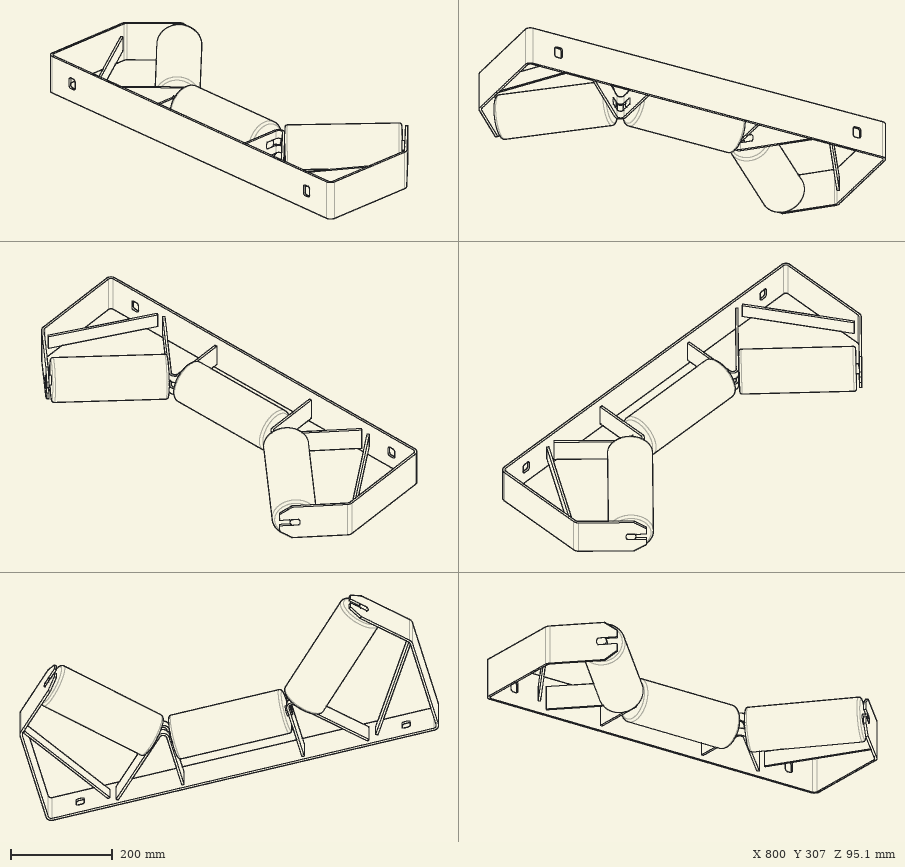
import cadquery as cq
import math

LENGTH = 800.0
FRAME_HEIGHT = 80.0
PLATE = 5.0
WING_ANGLE = 45
WING_BEND_Y = 208.0
WING_TIP_Y = 306.0
CORNER_RADIUS = 11.0
WING_RADIUS = 14.0
TIP_CHAMFER_ALONG = 25.0
TIP_CHAMFER_HEIGHT = 18.0

HOLE_X = 332.0
HOLE_WIDTH = 17.0
HOLE_HEIGHT = 23.0
HOLE_CORNER = 5.0

ROLLER_RADIUS = 89.0 / 2
ROLLER_LENGTH = 230.0
ROLLER_FILLET = 5.0
SHAFT_RADIUS = 20.0 / 2
SHAFT_FLATS = 14.0
FLAT_LENGTH = 6.0
CENTRE_Y = 100.0
CENTRE_Z = 34.0
WING_AXIS_SUM = 38.0
WING_OUTER_Z = FRAME_HEIGHT / 2
TILT = 1.6
WING_DRUM_SHIFT = 2.0

BRACKET_FACE_X = 120.0
BRACKET_TOP_Y = 129.0
BRACKET_RADIUS = 12.0
BRACKET_WIDTH = 48.0

GUSSET_WIDTH = 30.0
GUSSET_FOOT_X = 273.0
GUSSET_HEAD_Y = 195.0
WELD = 0.4

HALF = LENGTH / 2
COS_WING = math.cos(math.radians(WING_ANGLE))
SIN_WING = math.sin(math.radians(WING_ANGLE))
WING_LENGTH = (WING_TIP_Y - WING_BEND_Y) / SIN_WING
WING_TIP_X = -HALF + WING_LENGTH * COS_WING
ALONG_WING = cq.Vector(COS_WING, SIN_WING, 0)
BEND_X = -BRACKET_FACE_X - BRACKET_RADIUS
BEND_Y = BRACKET_TOP_Y - BRACKET_RADIUS


def mirrored(shape):
    return shape.mirror("YZ")


def axis_point(face_difference):
    """Point of the left wing axis (in XY) on the plane Y - X = face_difference."""
    x = -(WING_AXIS_SUM + face_difference) / 2
    return x, x + face_difference


OUTER_X, OUTER_Y = axis_point(WING_BEND_Y + HALF)
DIAGONAL_DIFFERENCE = BEND_Y - BEND_X + BRACKET_RADIUS / SIN_WING
INNER_X, INNER_Y = axis_point(DIAGONAL_DIFFERENCE)
WING_SPAN = math.hypot(INNER_X - OUTER_X, INNER_Y - OUTER_Y)
AXIS_DROP = WING_SPAN * math.tan(math.radians(TILT))
WING_AXIS = cq.Vector(INNER_X - OUTER_X, INNER_Y - OUTER_Y, -AXIS_DROP)
WING_MIDDLE = cq.Vector(OUTER_X, OUTER_Y, WING_OUTER_Z) + WING_AXIS / 2

WING_CENTRE = WING_MIDDLE + WING_AXIS.normalized() * (PLATE / 2)
WING_PLANE = cq.Plane(WING_CENTRE, WING_AXIS, WING_AXIS.cross(ALONG_WING))
WING_SHAFT = WING_AXIS.Length + PLATE
CENTRE_PLANE = cq.Plane((0, CENTRE_Y, CENTRE_Z), (1, 0, 0), (0, 0, 1))
CENTRE_SHAFT = 2 * (BRACKET_FACE_X + PLATE)


def along_axis(radius, length):
    return cq.Workplane("YZ").workplane(offset=-length / 2).circle(radius).extrude(length)


def flatted_bar(length):
    slab = cq.Workplane("XY").box(length, 2 * SHAFT_RADIUS, SHAFT_FLATS)
    return along_axis(SHAFT_RADIUS, length).intersect(slab)


def roller(plane, shaft_length, drum_shift):
    """Drum and shaft in one piece; the shaft ends are flatted where they sit in the slots."""
    shaft = flatted_bar(shaft_length).union(along_axis(SHAFT_RADIUS, shaft_length - 2 * FLAT_LENGTH))
    drum = along_axis(ROLLER_RADIUS, ROLLER_LENGTH).edges().fillet(ROLLER_FILLET)
    drum = drum.translate((drum_shift, 0, 0))
    return cq.Workplane(drum.union(shaft).val().located(plane.location))


def slot_cutter(plane, shaft_length):
    """Shaft profile left open on one side, long enough to pass both supporting plates."""
    length = shaft_length + 2 * BRACKET_RADIUS
    reach = 3 * BRACKET_RADIUS + SHAFT_RADIUS
    opening = cq.Workplane("XY").box(length, reach, SHAFT_FLATS, centered=(True, False, True))
    return cq.Workplane(flatted_bar(length).union(opening).val().located(plane.location))


def round_bend(body, x, y, outer_radius, inner_x, inner_y):
    outer = cq.selectors.NearestToPointSelector((x, y, FRAME_HEIGHT / 2))
    inner = cq.selectors.NearestToPointSelector((inner_x, inner_y, FRAME_HEIGHT / 2))
    return body.edges(outer).fillet(outer_radius).edges(inner).fillet(outer_radius - PLATE)


def strip():
    inner_bend_y = WING_BEND_Y - PLATE * math.tan(math.radians(WING_ANGLE / 2))
    left = [
        (-HALF, 0),
        (-HALF, WING_BEND_Y),
        (WING_TIP_X, WING_TIP_Y),
        (WING_TIP_X + PLATE * SIN_WING, WING_TIP_Y - PLATE * COS_WING),
        (-HALF + PLATE, inner_bend_y),
        (-HALF + PLATE, PLATE),
    ]
    right = [(-x, y) for x, y in reversed(left)]
    body = cq.Workplane("XY").polyline(left + right).close().extrude(FRAME_HEIGHT)
    for side in (-1, 1):
        body = round_bend(body, side * HALF, 0, CORNER_RADIUS, side * (HALF - PLATE), PLATE)
        body = round_bend(
            body, side * HALF, WING_BEND_Y, WING_RADIUS, side * (HALF - PLATE), inner_bend_y
        )
    return body


def tip_corners():
    """Wedges that cut off the upper and lower corner of the left wing tip."""
    inward = cq.Vector(SIN_WING, -COS_WING, 0)
    plane = cq.Plane((WING_TIP_X, WING_TIP_Y, FRAME_HEIGHT / 2), ALONG_WING, inward)
    wedges = cq.Workplane(plane)
    for edge in (-FRAME_HEIGHT / 2, FRAME_HEIGHT / 2):
        shoulder = edge - math.copysign(TIP_CHAMFER_HEIGHT, edge)
        wedges = wedges.moveTo(0, edge).lineTo(-TIP_CHAMFER_ALONG, edge).lineTo(0, shoulder).close()
    return wedges.extrude(PLATE)


def mounting_hole():
    hole = cq.Workplane("XY").box(HOLE_WIDTH, 2 * PLATE, HOLE_HEIGHT).edges("|Y").fillet(HOLE_CORNER)
    return hole.translate((-HOLE_X, PLATE / 2, FRAME_HEIGHT / 2))


def bracket():
    """Left bracket: an upright leg, a bend and a leg sloping back down to the base."""
    inner_radius = BRACKET_RADIUS - PLATE

    def on_bend(radius, degrees):
        angle = math.radians(degrees)
        return BEND_X + radius * math.cos(angle), BEND_Y + radius * math.sin(angle)

    slope_angle = 90 + WING_ANGLE
    middle_angle = slope_angle / 2
    outer_x, outer_y = on_bend(BRACKET_RADIUS, slope_angle)
    inner_x, inner_y = on_bend(inner_radius, slope_angle)
    drop = inner_y - (PLATE - WELD)
    return (
        cq.Workplane("XY")
        .workplane(offset=CENTRE_Z - BRACKET_WIDTH / 2)
        .moveTo(-BRACKET_FACE_X, PLATE)
        .lineTo(-BRACKET_FACE_X, BEND_Y)
        .threePointArc(on_bend(BRACKET_RADIUS, middle_angle), (outer_x, outer_y))
        .lineTo(outer_x - drop, outer_y - drop)
        .lineTo(inner_x - drop, inner_y - drop)
        .lineTo(inner_x, inner_y)
        .threePointArc(on_bend(inner_radius, middle_angle), (-BRACKET_FACE_X - PLATE, BEND_Y))
        .lineTo(-BRACKET_FACE_X - PLATE, PLATE)
        .close()
        .extrude(BRACKET_WIDTH)
    )


def gusset():
    """Left gusset: a flat plate with square-cut ends between side plate and base."""
    slope = math.atan2(GUSSET_HEAD_Y - PLATE, HALF - PLATE - GUSSET_FOOT_X)
    foot_lift = PLATE / 2 * math.cos(slope) - WELD
    head_lift = PLATE / 2 * math.sin(slope) - WELD
    foot = cq.Vector(-GUSSET_FOOT_X, PLATE + foot_lift, 0)
    head = cq.Vector(-HALF + PLATE + head_lift, GUSSET_HEAD_Y, 0)
    run = head - foot
    middle = (foot + head) / 2 + cq.Vector(0, 0, FRAME_HEIGHT / 2)
    turn = math.degrees(math.atan2(run.y, run.x))
    plate = cq.Workplane("XY").box(run.Length, PLATE, GUSSET_WIDTH)
    return plate.rotate((0, 0, 0), (0, 0, 1), turn).translate(middle)


def build_frame():
    body = strip()
    for part in (bracket(), gusset()):
        body = body.union(part).union(mirrored(part))
    for cutter in (tip_corners(), mounting_hole(), slot_cutter(WING_PLANE, WING_SHAFT)):
        body = body.cut(cutter).cut(mirrored(cutter))
    return body.cut(slot_cutter(CENTRE_PLANE, CENTRE_SHAFT))


frame = build_frame()
centre_roller = roller(CENTRE_PLANE, CENTRE_SHAFT, 0)
left_roller = roller(WING_PLANE, WING_SHAFT, WING_DRUM_SHIFT)
right_roller = mirrored(left_roller)

result = cq.Compound.makeCompound(
    [*frame.vals(), centre_roller.val(), left_roller.val(), right_roller.val()]
)